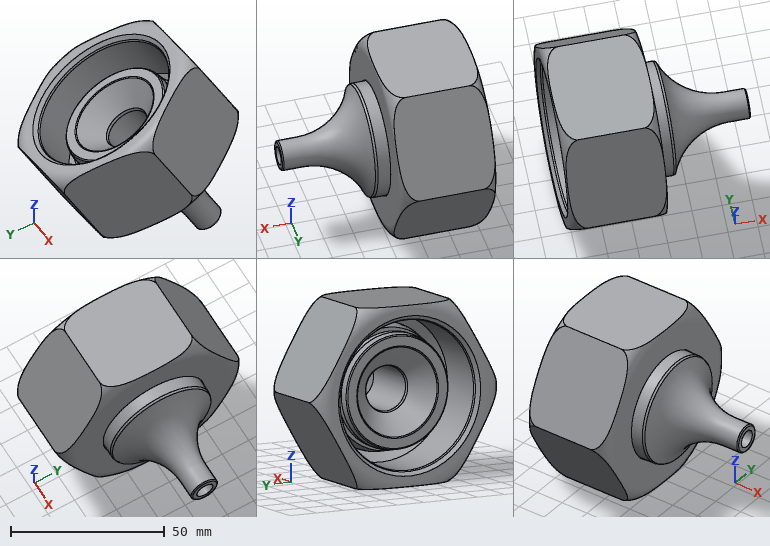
import cadquery as cq
import math

hex_corner_diameter = 69.3
overall_length = 65.0

nut_length = 32.5
corner_round = 5.55
mouth_radius = 26.45
mouth_chamfer = 1.25
thread_bore_radius = 49.8 / 2
thread_start = 1.9
thread_bore_end = 19.4
nut_hole_radius = 38.3 / 2

nozzle_front = 8.0
edge_chamfer = 0.4
cone_half_angle = math.radians(12)
cone_front_radius = 19.0
cone_back_radius = 43.0 / 2
stub_radius = 37.9 / 2
stub_end = 37.55
stub_end_chamfer_length = 0.8
stub_end_chamfer_depth = 0.3
tip_radius = 10.0 / 2
tip_start = 57.7
tip_chamfer = 0.4

groove_front_radius = 19.5
groove_back_radius = 20.4
seal_section_diameter = 2.5

funnel_mouth_radius = 15.25
funnel_start_radius = 14.8
funnel_mouth_chamfer = 0.2
funnel_end = 15.25
funnel_end_radius = 7.8
bore_radius = 15.0 / 2
bore_start = 16.15
bore_end = 37.55
bore_floor_half_angle = math.radians(69)
tip_hole_radius = 6.0 / 2

seat_end = thread_bore_end + thread_bore_radius - nut_hole_radius


def seat_position(radius):
    """X where the nut seat has the given radius."""
    return thread_bore_end + thread_bore_radius - radius


def cone_position(radius):
    """X where the nozzle's sealing cone has the given radius."""
    cone_front = nozzle_front + edge_chamfer
    return cone_front + (radius - cone_front_radius) / math.tan(cone_half_angle)


groove_front = cone_position(groove_front_radius)
groove_back = cone_position(groove_back_radius)
groove_floor_radius = groove_front_radius - seal_section_diameter


def revolve_about_x(profile):
    """Turn a profile drawn as (x, radius) about the X axis."""
    return profile.close().revolve(360, (0, 0, 0), (1, 0, 0))


def make_nut():
    hexagon = cq.Workplane("YZ").polygon(6, hex_corner_diameter).extrude(nut_length)
    envelope = cq.Workplane("YZ").circle(hex_corner_diameter / 2).extrude(nut_length)
    envelope = envelope.edges().fillet(corner_round)
    bore = revolve_about_x(
        cq.Workplane("XY")
        .lineTo(0, mouth_radius)
        .lineTo(mouth_chamfer, mouth_radius - mouth_chamfer)
        .lineTo(thread_start, thread_bore_radius)
        .lineTo(thread_bore_end, thread_bore_radius)
        .lineTo(seat_end, nut_hole_radius)
        .lineTo(nut_length, nut_hole_radius)
        .lineTo(nut_length, 0)
    )
    return hexagon.intersect(envelope).cut(bore)


def make_nozzle_outside():
    neck_radius = stub_radius - stub_end_chamfer_depth
    flare_run = tip_start - stub_end
    flare_rise = neck_radius - tip_radius
    flare_radius = (flare_run**2 + flare_rise**2) / (2 * flare_rise)
    half_turn = math.asin(flare_run / flare_radius) / 2
    flare_middle = (
        tip_start - flare_radius * math.sin(half_turn),
        tip_radius + flare_radius * (1 - math.cos(half_turn)),
    )
    return revolve_about_x(
        cq.Workplane("XY")
        .moveTo(nozzle_front, 0)
        .lineTo(nozzle_front, cone_front_radius - edge_chamfer)
        .lineTo(nozzle_front + edge_chamfer, cone_front_radius)
        .lineTo(groove_front, groove_front_radius)
        .lineTo(groove_front, groove_floor_radius)
        .lineTo(groove_back, groove_floor_radius)
        .lineTo(groove_back, groove_back_radius)
        .lineTo(cone_position(cone_back_radius), cone_back_radius)
        .lineTo(seat_position(cone_back_radius), cone_back_radius)
        .lineTo(seat_position(stub_radius), stub_radius)
        .lineTo(stub_end - stub_end_chamfer_length, stub_radius)
        .lineTo(stub_end, neck_radius)
        .threePointArc(flare_middle, (tip_start, tip_radius))
        .lineTo(overall_length - tip_chamfer, tip_radius)
        .lineTo(overall_length, tip_radius - tip_chamfer)
        .lineTo(overall_length, 0)
    )


def make_nozzle_passage():
    bore_floor_depth = (bore_radius - tip_hole_radius) / math.tan(bore_floor_half_angle)
    return revolve_about_x(
        cq.Workplane("XY")
        .moveTo(nozzle_front, 0)
        .lineTo(nozzle_front, funnel_mouth_radius)
        .lineTo(nozzle_front + funnel_mouth_chamfer, funnel_start_radius)
        .lineTo(funnel_end, funnel_end_radius)
        .lineTo(bore_start, bore_radius)
        .lineTo(bore_end, bore_radius)
        .lineTo(bore_end + bore_floor_depth, tip_hole_radius)
        .lineTo(overall_length, tip_hole_radius)
        .lineTo(overall_length, 0)
    )


def make_nozzle():
    return make_nozzle_outside().cut(make_nozzle_passage())


def make_seal_ring():
    """O-ring on the groove floor, level with the front edge of the groove."""
    section_radius = seal_section_diameter / 2
    section_centre = ((groove_front + groove_back) / 2, groove_floor_radius + section_radius)
    section = cq.Workplane("XY").moveTo(*section_centre).circle(section_radius)
    return section.revolve(360, (0, 0, 0), (1, 0, 0))


nut = make_nut()
nozzle = make_nozzle()
seal_ring = make_seal_ring()

result = cq.Compound.makeCompound([nut.val(), nozzle.val(), seal_ring.val()])